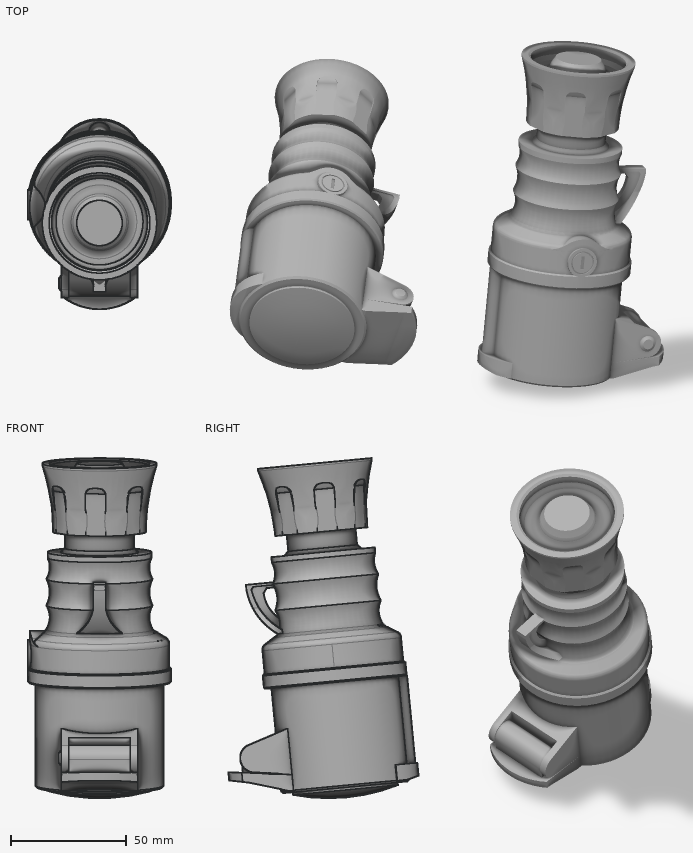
import cadquery as cq
import math

LEAN_ANGLE = 5.4

LID_RADIUS = 27.8
LID_BOTTOM = 4.4
LID_TOP = 12.0
LID_CHAMFER = 0.9
DOME_RADIUS = 22.8
DOME_SPHERE_RADIUS = 80.9

FLANGE_RADIUS = 31.0
FLANGE_BOTTOM = 50.0
FLANGE_TOP = 56.3
FLANGE_CHAMFER = 0.6
COLLAR_RADIUS = 30.1
COLLAR_TOP = 66.6
SHOULDER_ROUND_MIDDLE = (29.7, 68.2)
SHOULDER_SLOPE_START = (28.5, 69.2)
SHOULDER_SLOPE_END = (24.5, 71.7)
SHOULDER_FILLET_MIDDLE = (23.5, 72.3)
SHOULDER_TOP = (23.0, 73.0)

RIDGE_RADIUS = 23.0
GROOVE_RADIUS = 21.6
LOW_GROOVE_HEIGHT = 78.8
LOW_RIDGE_HEIGHT = 83.4
HIGH_RIDGE_HEIGHT = 94.8
MIDDLE_GROOVE_HEIGHT = (LOW_RIDGE_HEIGHT + HIGH_RIDGE_HEIGHT) / 2
HIGH_GROOVE_HEIGHT = 100.5
GRIP_LIP_RADIUS = 22.5
GRIP_LIP_BOTTOM = 104.1
GRIP_TOP = 106.5

NECK_RADIUS = 15.0
NECK_FOOT_RADIUS = 16.8
NECK_FOOT_HEIGHT = 1.8

CAP_BOTTOM = 115.3
CAP_TOP = 145.0
CAP_BOTTOM_RADIUS = 20.1
CAP_MIDDLE_RADIUS = 21.3
CAP_MIDDLE_HEIGHT = 130.0
CAP_TOP_RADIUS = 24.7
CAP_LIP_BOTTOM = 144.0
CAP_MOUTH_RADIUS = 21.8
CAP_MOUTH_DEPTH = 0.7
CAP_BORE_RADIUS = 20.7
CAP_BORE_DEPTH = 4.5
CAP_FLOOR_RADIUS = 18.8
CAP_FLOOR_DEPTH = 6.3
PLUG_RADIUS = 9.8
PLUG_NECK_RADIUS = 11.6
PLUG_NECK_DEPTH = 3.0
PLUG_FLARE_RADIUS = 12.3
PLUG_FLARE_DEPTH = 4.5
PLUG_FILLET_RADIUS = 13.8
PLUG_FILLET_DEPTH = 5.9
PLUG_FOOT_RADIUS = 16.0

FLUTE_COUNT = 7
FLUTE_FIRST_ANGLE = 265.3
FLUTE_WIDTH = 8.8
FLUTE_BOTTOM_RADIUS = 19.5
FLUTE_FLOOR_TOP = 133.6
FLUTE_FLOOR_TOP_RADIUS = 20.9
FLUTE_TOP = 136.9
FLUTE_TOP_RADIUS = 23.0

BOSS_CENTRE_HEIGHT = 62.0
BOSS_TOP = 72.3
BOSS_DEPTH = 11.8
BOSS_HALF_WIDTH = 15.5
BOSS_CROWN_HALF_WIDTH = 7.4
BOSS_CROWN_SIDE_HEIGHT = 69.7
BOSS_TAIL_HALF_WIDTH = 11.0
BOSS_TAIL_HEIGHT = 67.6
SCREW_RADIUS = 6.5
SCREW_FACE = FLANGE_RADIUS
SCREW_RING_OUTER_RADIUS = 5.1
SCREW_RING_INNER_RADIUS = 4.5
SCREW_MARK_DEPTH = 0.6
SCREW_SLOT_WIDTH = 1.5
SCREW_SLOT_LENGTH = 5.9

TAB_HALF_WIDTH = 16.5
TAB_ROOT = 22.6
FRONT_TAB_REACH = 49.7
FRONT_TAB_TIP_RADIUS = 26.3
FRONT_TAB_TIP_BOTTOM = 12.0
FRONT_TAB_TIP_TOP = 15.7
FRONT_TAB_RAMP_START = (-24.3, 5.1)
FRONT_TAB_RAMP_END = (-41.2, 10.3)
REAR_TAB_REACH = 32.0
REAR_TAB_TIP_RADIUS = 19.1
REAR_TAB_BOTTOM = 6.5
PIN_REACH = 38.0
PIN_HEIGHT = 20.7
HINGE_EYE_RADIUS = 6.2
HINGE_TOP = 32.0
HINGE_SLOPE_ANGLE = 20
HINGE_ARM_THICKNESS = 3.2
HINGE_POCKET_REACH = 32.0
KNUCKLE_RADIUS = 5.6
PIN_HEAD_RADIUS = 3.5
PIN_FACE_RADIUS = 2.2
PIN_HEAD_HEIGHT = 1.0

REAR_RIB_RADIUS = 4.7
REAR_RIB_REACH = 31.2

HOOK_TOP = 95.5
HOOK_REACH = 34.5
HOOK_TIP_BOTTOM = 93.2
HOOK_FOOT_HEIGHT = 73.2
HOOK_FOOT_REACH = 23.0
HOOK_EMBED_DEPTH = 1.5
HOOK_ROOT = HOOK_EMBED_DEPTH - GROOVE_RADIUS
HOOK_OUTER_MIDDLE = (-30.5, 81.1)
HOOK_HOLE_BOTTOM = 78.8
HOOK_HOLE_MIDDLE = (-25.3, 84.4)
HOOK_HOLE_CORNER_START = (-27.2, 91.1)
HOOK_HOLE_CORNER_END = -25.7
STRAP_OVERHANG = 0.6
STRAP_FOOT_TOP = 74.4
STRAP_MIDDLE = (-28.5, 82.8)
STRAP_CORNER_START = (-32.3, HOOK_TIP_BOTTOM)
STRAP_CORNER_END = (-31.3, 94.4)
FLARE_TOP = 85.3
FLARE_MIDDLE_HALF_WIDTH = 4.3
FLARE_MIDDLE_HEIGHT = 80.0
HOOK_BAR_WIDTH = 5.3
HOOK_FOOT_WIDTH = 19.7


def side_plate(outline, x_start, width):
    """Extrude an outline of (Y, height) along X, starting at x_start."""
    return outline.extrude(width).translate((x_start, 0, 0))


def side_plane():
    return cq.Workplane("YZ")


def make_body():
    dome_rise = DOME_SPHERE_RADIUS - math.sqrt(DOME_SPHERE_RADIUS**2 - DOME_RADIUS**2)
    dome_half = DOME_RADIUS / 2
    dome_half_rise = DOME_SPHERE_RADIUS - math.sqrt(DOME_SPHERE_RADIUS**2 - dome_half**2)
    plug_fillet_middle = (PLUG_FILLET_RADIUS, CAP_TOP - PLUG_FILLET_DEPTH)
    plug_flare = (PLUG_FLARE_RADIUS, CAP_TOP - PLUG_FLARE_DEPTH)
    profile = (
        cq.Workplane("XZ")
        .moveTo(0, 0)
        .threePointArc((dome_half, dome_half_rise), (DOME_RADIUS, dome_rise))
        .lineTo(DOME_RADIUS, LID_BOTTOM)
        .lineTo(LID_RADIUS - LID_CHAMFER, LID_BOTTOM)
        .lineTo(LID_RADIUS, LID_BOTTOM + LID_CHAMFER)
        .lineTo(LID_RADIUS, FLANGE_BOTTOM)
        .lineTo(FLANGE_RADIUS - FLANGE_CHAMFER, FLANGE_BOTTOM)
        .lineTo(FLANGE_RADIUS, FLANGE_BOTTOM + FLANGE_CHAMFER)
        .lineTo(FLANGE_RADIUS, FLANGE_TOP - FLANGE_CHAMFER)
        .lineTo(FLANGE_RADIUS - FLANGE_CHAMFER, FLANGE_TOP)
        .lineTo(COLLAR_RADIUS, FLANGE_TOP)
        .lineTo(COLLAR_RADIUS, COLLAR_TOP)
        .threePointArc(SHOULDER_ROUND_MIDDLE, SHOULDER_SLOPE_START)
        .lineTo(*SHOULDER_SLOPE_END)
        .threePointArc(SHOULDER_FILLET_MIDDLE, SHOULDER_TOP)
        .threePointArc((GROOVE_RADIUS, LOW_GROOVE_HEIGHT), (RIDGE_RADIUS, LOW_RIDGE_HEIGHT))
        .threePointArc((GROOVE_RADIUS, MIDDLE_GROOVE_HEIGHT), (RIDGE_RADIUS, HIGH_RIDGE_HEIGHT))
        .threePointArc((GROOVE_RADIUS, HIGH_GROOVE_HEIGHT), (GRIP_LIP_RADIUS, GRIP_LIP_BOTTOM))
        .lineTo(GRIP_LIP_RADIUS, GRIP_TOP)
        .lineTo(NECK_FOOT_RADIUS, GRIP_TOP)
        .lineTo(NECK_RADIUS, GRIP_TOP + NECK_FOOT_HEIGHT)
        .lineTo(NECK_RADIUS, CAP_BOTTOM)
        .lineTo(CAP_BOTTOM_RADIUS, CAP_BOTTOM)
        .threePointArc((CAP_MIDDLE_RADIUS, CAP_MIDDLE_HEIGHT), (CAP_TOP_RADIUS, CAP_LIP_BOTTOM))
        .lineTo(CAP_TOP_RADIUS, CAP_TOP)
        .lineTo(CAP_MOUTH_RADIUS, CAP_TOP)
        .lineTo(CAP_BORE_RADIUS, CAP_TOP - CAP_MOUTH_DEPTH)
        .lineTo(CAP_BORE_RADIUS, CAP_TOP - CAP_BORE_DEPTH)
        .lineTo(CAP_FLOOR_RADIUS, CAP_TOP - CAP_FLOOR_DEPTH)
        .lineTo(PLUG_FOOT_RADIUS, CAP_TOP - CAP_FLOOR_DEPTH)
        .threePointArc(plug_fillet_middle, plug_flare)
        .lineTo(PLUG_NECK_RADIUS, CAP_TOP - PLUG_NECK_DEPTH)
        .lineTo(PLUG_RADIUS, CAP_TOP)
        .lineTo(0, CAP_TOP)
        .close()
    )
    return profile.revolve(360, (0, 0, 0), (0, 1, 0))


def make_flute():
    """Cutter for one flute on the +X side: flat floor with a sloping, arched end."""
    outer = 2 * FLUTE_TOP_RADIUS - FLUTE_FLOOR_TOP_RADIUS
    outer_height = 2 * FLUTE_TOP - FLUTE_FLOOR_TOP
    depth_profile = (
        cq.Workplane("XZ")
        .moveTo(FLUTE_BOTTOM_RADIUS, CAP_BOTTOM)
        .lineTo(FLUTE_FLOOR_TOP_RADIUS, FLUTE_FLOOR_TOP)
        .lineTo(outer, outer_height)
        .lineTo(outer, CAP_BOTTOM)
        .close()
        .extrude(FLUTE_WIDTH, both=True)
    )
    half = FLUTE_WIDTH / 2
    arch = (
        cq.Workplane("YZ")
        .moveTo(-half, CAP_BOTTOM)
        .lineTo(-half, FLUTE_FLOOR_TOP)
        .threePointArc((0, FLUTE_TOP), (half, FLUTE_FLOOR_TOP))
        .lineTo(half, CAP_BOTTOM)
        .close()
        .extrude(outer)
    )
    return depth_profile.intersect(arch)


def make_boss():
    crown_end = (BOSS_CROWN_HALF_WIDTH, BOSS_CROWN_SIDE_HEIGHT)
    crown_start = (-BOSS_CROWN_HALF_WIDTH, BOSS_CROWN_SIDE_HEIGHT)
    outline = (
        side_plane()
        .moveTo(-BOSS_HALF_WIDTH, COLLAR_TOP)
        .threePointArc((-BOSS_TAIL_HALF_WIDTH, BOSS_TAIL_HEIGHT), crown_start)
        .threePointArc((0, BOSS_TOP), crown_end)
        .threePointArc((BOSS_TAIL_HALF_WIDTH, BOSS_TAIL_HEIGHT), (BOSS_HALF_WIDTH, COLLAR_TOP))
        .lineTo(BOSS_CROWN_HALF_WIDTH, FLANGE_TOP)
        .lineTo(-BOSS_CROWN_HALF_WIDTH, FLANGE_TOP)
        .close()
    )
    collar_cylinder = cq.Workplane("XY").circle(COLLAR_RADIUS).extrude(BOSS_TOP)
    return side_plate(outline, -COLLAR_RADIUS, BOSS_DEPTH).intersect(collar_cylinder)


def make_screw():
    face = cq.Workplane("YZ").center(0, BOSS_CENTRE_HEIGHT)
    head = face.circle(SCREW_RADIUS).extrude(BOSS_DEPTH)
    ring = face.circle(SCREW_RING_OUTER_RADIUS).circle(SCREW_RING_INNER_RADIUS).extrude(SCREW_MARK_DEPTH)
    slot = face.rect(SCREW_SLOT_WIDTH, SCREW_SLOT_LENGTH).extrude(SCREW_MARK_DEPTH)
    return head.cut(ring).cut(slot).translate((-SCREW_FACE, 0, 0))


def tab_plan(reach, tip_radius):
    """Upright prism, towards -Y, with straight sides and a round tip."""
    side_reach = reach - tip_radius + math.sqrt(tip_radius**2 - TAB_HALF_WIDTH**2)
    return (
        cq.Workplane("XY")
        .moveTo(-TAB_HALF_WIDTH, 0)
        .lineTo(-TAB_HALF_WIDTH, -side_reach)
        .threePointArc((0, -reach), (TAB_HALF_WIDTH, -side_reach))
        .lineTo(TAB_HALF_WIDTH, 0)
        .close()
        .extrude(FLANGE_BOTTOM)
    )


def make_front_tab():
    outline = (
        side_plane()
        .moveTo(0, LID_BOTTOM)
        .lineTo(*FRONT_TAB_RAMP_START)
        .lineTo(*FRONT_TAB_RAMP_END)
        .lineTo(-FRONT_TAB_REACH, FRONT_TAB_TIP_BOTTOM)
        .lineTo(-FRONT_TAB_REACH, FRONT_TAB_TIP_TOP)
        .lineTo(-TAB_ROOT, LID_TOP)
        .lineTo(0, LID_TOP)
        .close()
    )
    slab = side_plate(outline, -TAB_HALF_WIDTH, 2 * TAB_HALF_WIDTH)
    return slab.intersect(tab_plan(FRONT_TAB_REACH, FRONT_TAB_TIP_RADIUS))


def make_rear_tab():
    points = [
        (0, LID_BOTTOM),
        (LID_RADIUS, LID_BOTTOM + LID_CHAMFER),
        (REAR_TAB_REACH, REAR_TAB_BOTTOM),
        (REAR_TAB_REACH, LID_TOP),
        (0, LID_TOP),
    ]
    slab = side_plate(side_plane().polyline(points).close(), -TAB_HALF_WIDTH, 2 * TAB_HALF_WIDTH)
    plan = tab_plan(REAR_TAB_REACH, REAR_TAB_TIP_RADIUS).mirror("XZ")
    return slab.intersect(plan)


def make_hinge():
    eye_bottom = PIN_HEIGHT - HINGE_EYE_RADIUS
    eye_diagonal = HINGE_EYE_RADIUS * math.sqrt(0.5)
    slope_angle = math.radians(90 - HINGE_SLOPE_ANGLE)
    tangent_reach = PIN_REACH + HINGE_EYE_RADIUS * math.cos(slope_angle)
    tangent_height = PIN_HEIGHT + HINGE_EYE_RADIUS * math.sin(slope_angle)
    outline = (
        side_plane()
        .moveTo(0, LID_TOP)
        .lineTo(0, HINGE_TOP)
        .lineTo(-TAB_ROOT, HINGE_TOP)
        .lineTo(-tangent_reach, tangent_height)
        .threePointArc((-PIN_REACH - eye_diagonal, PIN_HEIGHT - eye_diagonal), (-PIN_REACH, eye_bottom))
        .lineTo(-TAB_ROOT, LID_TOP)
        .close()
    )
    block = side_plate(outline, -TAB_HALF_WIDTH, 2 * TAB_HALF_WIDTH)

    gap_half_width = TAB_HALF_WIDTH - HINGE_ARM_THICKNESS
    gap_width = 2 * gap_half_width
    pocket = cq.Workplane("XY").box(gap_width, HINGE_POCKET_REACH, HINGE_TOP, centered=(True, False, False))
    pocket = pocket.translate((0, -2 * HINGE_POCKET_REACH, 0))

    knuckle = side_plane().center(-PIN_REACH, PIN_HEIGHT).circle(KNUCKLE_RADIUS)
    knuckle = side_plate(knuckle, -gap_half_width, gap_width)
    web_height = PIN_HEIGHT - LID_TOP
    web = cq.Workplane("XY").box(gap_width, 2 * KNUCKLE_RADIUS, web_height, centered=(True, True, False))
    web = web.translate((0, -PIN_REACH, LID_TOP))

    head = (
        cq.Workplane("YZ", origin=(-TAB_HALF_WIDTH, -PIN_REACH, PIN_HEIGHT))
        .circle(PIN_HEAD_RADIUS)
        .workplane(offset=-PIN_HEAD_HEIGHT)
        .circle(PIN_FACE_RADIUS)
        .loft()
    )
    return block.cut(pocket).union(knuckle).union(web).union(head)


def make_rear_rib():
    height = FLANGE_BOTTOM - LID_TOP
    rib = cq.Workplane("XY").circle(REAR_RIB_RADIUS).extrude(height)
    return rib.translate((0, REAR_RIB_REACH - REAR_RIB_RADIUS, LID_TOP))


def hook_outer_edge():
    """Open outline along the top, the curved outer edge and the foot of the hook."""
    return (
        side_plane()
        .moveTo(HOOK_ROOT, HOOK_TOP)
        .lineTo(-HOOK_REACH, HOOK_TOP)
        .lineTo(-HOOK_REACH, HOOK_TIP_BOTTOM)
        .threePointArc(HOOK_OUTER_MIDDLE, (-HOOK_FOOT_REACH, HOOK_FOOT_HEIGHT))
        .lineTo(HOOK_ROOT, HOOK_FOOT_HEIGHT)
    )


def make_hook():
    """A straight web with a strap along its outer curve that flares out at the foot."""
    half_bar = HOOK_BAR_WIDTH / 2
    half_foot = HOOK_FOOT_WIDTH / 2
    web = (
        hook_outer_edge()
        .lineTo(HOOK_ROOT, HOOK_HOLE_BOTTOM)
        .threePointArc(HOOK_HOLE_MIDDLE, HOOK_HOLE_CORNER_START)
        .lineTo(HOOK_HOLE_CORNER_END, HOOK_TIP_BOTTOM)
        .lineTo(HOOK_ROOT, HOOK_TIP_BOTTOM)
        .close()
    )
    web = side_plate(web, STRAP_OVERHANG - half_bar, HOOK_BAR_WIDTH - 2 * STRAP_OVERHANG)
    strap = (
        hook_outer_edge()
        .lineTo(HOOK_ROOT, STRAP_FOOT_TOP)
        .threePointArc(STRAP_MIDDLE, STRAP_CORNER_START)
        .lineTo(*STRAP_CORNER_END)
        .lineTo(HOOK_ROOT, STRAP_CORNER_END[1])
        .close()
    )
    strap = side_plate(strap, -half_foot, HOOK_FOOT_WIDTH)
    flare = (
        cq.Workplane("XZ")
        .moveTo(-half_bar, HOOK_TOP)
        .lineTo(-half_bar, FLARE_TOP)
        .threePointArc((-FLARE_MIDDLE_HALF_WIDTH, FLARE_MIDDLE_HEIGHT), (-half_foot, HOOK_FOOT_HEIGHT))
        .lineTo(half_foot, HOOK_FOOT_HEIGHT)
        .threePointArc((FLARE_MIDDLE_HALF_WIDTH, FLARE_MIDDLE_HEIGHT), (half_bar, FLARE_TOP))
        .lineTo(half_bar, HOOK_TOP)
        .close()
        .extrude(HOOK_REACH)
    )
    return web.union(strap.intersect(flare))


plug = make_body()
for index in range(FLUTE_COUNT):
    angle = FLUTE_FIRST_ANGLE + index * 360 / FLUTE_COUNT
    plug = plug.cut(make_flute().rotate((0, 0, 0), (0, 0, 1), angle))
for make_feature in (
    make_boss,
    make_screw,
    make_front_tab,
    make_rear_tab,
    make_hinge,
    make_rear_rib,
    make_hook,
):
    plug = plug.union(make_feature())

result = plug.rotate((0, 0, 0), (1, 0, 0), LEAN_ANGLE)